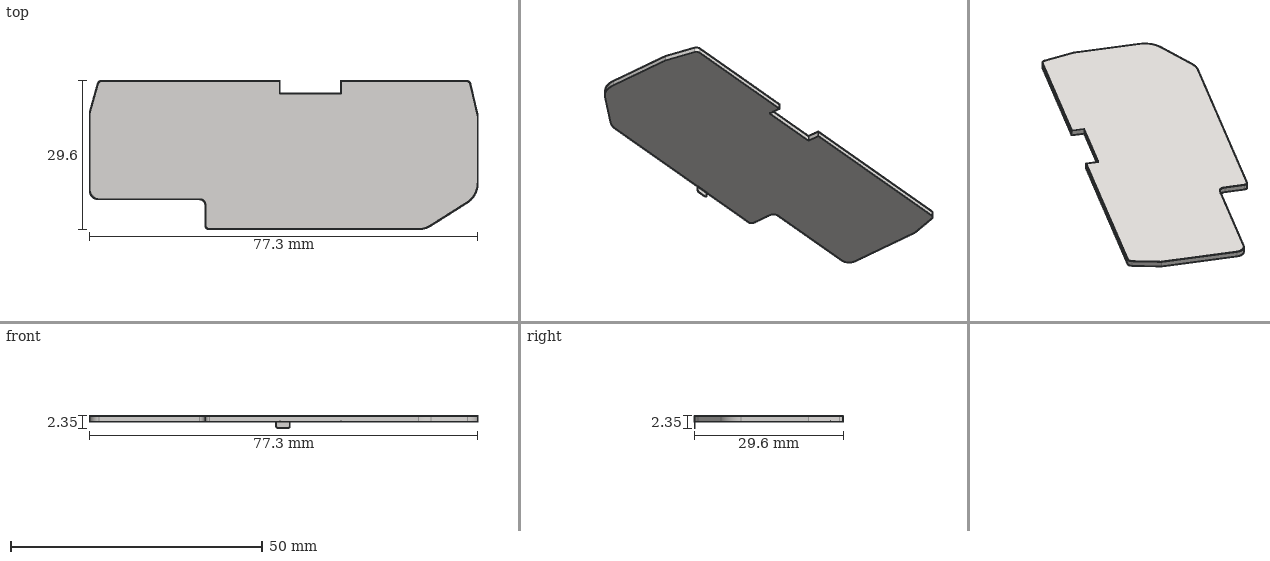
import cadquery as cq

length = 77.3
width = 29.6
thickness = 1.15
edge_chamfer = 0.1

left_slant_run = 1.8
left_slant_start = 23.3
right_slant_run = 1.6
right_slant_start = 22.65
upper_corner_radius = 0.9

step_x = 23.0
step_y = 5.95
left_corner_radius = 1.85
step_inner_radius = 1.15
step_outer_radius = 0.8

bevel_run = 10.5
bevel_rise = 6.65
bevel_radius = 4.6

notch_left = 37.9
notch_width = 12.1
notch_depth = 2.55

tab_left = 37.1
tab_width = 2.8
tab_drop = 1.2
tab_thickness = 0.1
tab_setback = 0.04
tab_corner_radius = 0.4


def make_plate():
    """Plate with rounded corners and a chamfered top edge."""
    corners = [
        ((0, step_y), left_corner_radius),
        ((step_x, step_y), step_inner_radius),
        ((step_x, 0), step_outer_radius),
        ((length - bevel_run, 0), bevel_radius),
        ((length, bevel_rise), bevel_radius),
        ((length, right_slant_start), 0),
        ((length - right_slant_run, width), upper_corner_radius),
        ((left_slant_run, width), upper_corner_radius),
        ((0, left_slant_start), 0),
    ]
    outline = [point for point, radius in corners]
    plate = cq.Workplane("XY").polyline(outline).close().extrude(thickness)
    for (x, y), radius in corners:
        if radius > 0:
            nearest = cq.selectors.NearestToPointSelector((x, y, thickness / 2))
            plate = plate.edges("|Z").edges(nearest).fillet(radius)
    return plate.faces(">Z").edges().chamfer(edge_chamfer)


def make_notch():
    """Block removed from the back edge, through the full thickness."""
    return cq.Workplane("XY").box(
        notch_width, notch_depth, thickness, centered=False
    ).translate((notch_left, width - notch_depth, 0))


def make_tab():
    """Thin tab, just behind the front edge, with rounded lower corners."""
    tab = cq.Workplane("XY").box(tab_width, tab_thickness, tab_drop, centered=False)
    tab = tab.edges("|Y").edges("<Z").fillet(tab_corner_radius)
    return tab.translate((tab_left, tab_setback, -tab_drop))


result = make_plate().cut(make_notch()).union(make_tab())